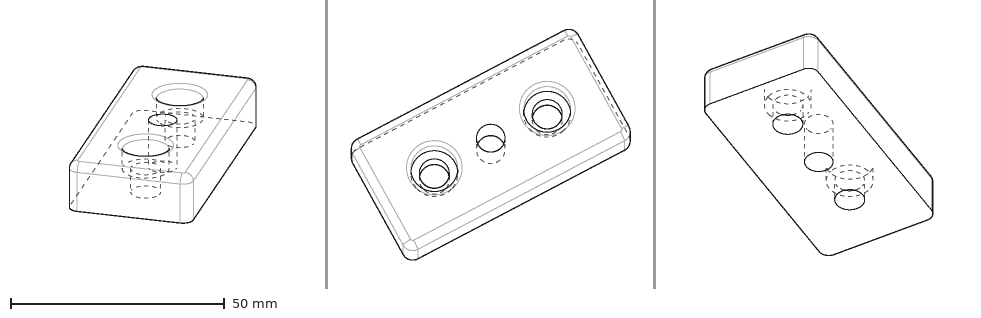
import cadquery as cq

width = 30.0
length = 60.0
height = 12.0
corner_radius = 2.5
top_edge_radius = 2.0

screw_spacing = length / 2
screw_hole_diameter = 7.0
counterbore_diameter = 11.0
counterbore_depth = height / 2
counterbore_lip_radius = 1.0
centre_hole_diameter = 6.65

screw_positions = [(0, -screw_spacing / 2), (0, screw_spacing / 2)]


def rounded_block():
    """Block standing on Z = 0 with rounded corners and a rounded top rim."""
    block = cq.Workplane("XY").box(width, length, height, centered=(True, True, False))
    block = block.edges("|Z").fillet(corner_radius)
    return block.faces(">Z").edges().fillet(top_edge_radius)


def through_hole(diameter):
    """Plain cylinder through the full height, on the Z axis."""
    return cq.Workplane("XY").circle(diameter / 2).extrude(height)


def counterbore():
    """Flat-bottomed counterbore on the Z axis whose mouth flares out in a quarter-round lip."""
    bore_radius = counterbore_diameter / 2
    mouth_radius = bore_radius + counterbore_lip_radius
    floor_level = height - counterbore_depth
    lip_level = height - counterbore_lip_radius
    half_profile = (
        cq.Workplane("XZ")
        .moveTo(0, floor_level)
        .lineTo(bore_radius, floor_level)
        .lineTo(bore_radius, lip_level)
        .radiusArc((mouth_radius, height), counterbore_lip_radius)
        .lineTo(0, height)
        .close()
    )
    return half_profile.revolve(360, (0, 0, 0), (0, 1, 0))


screw_hole = through_hole(screw_hole_diameter).union(counterbore())

result = rounded_block().cut(through_hole(centre_hole_diameter))
for x, y in screw_positions:
    result = result.cut(screw_hole.translate((x, y, 0)))